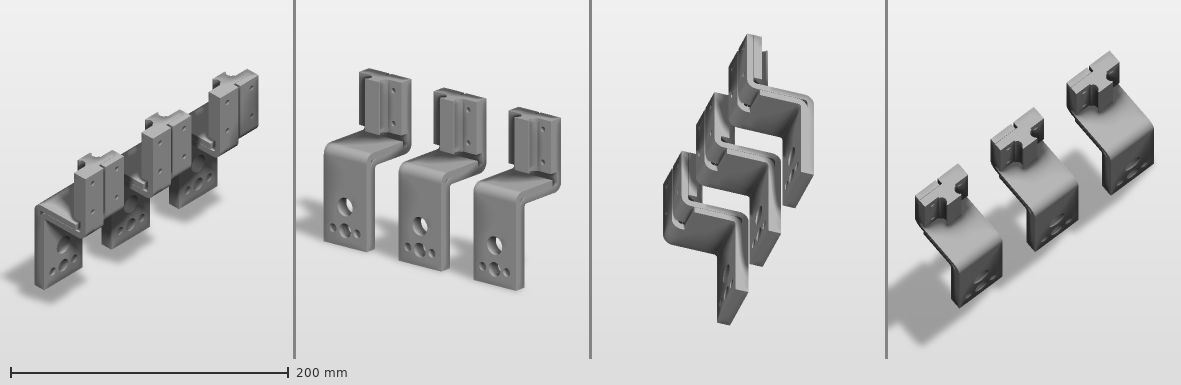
import cadquery as cq

total_length = 180.0
bracket_count = 3
bracket_width = 40.0
bracket_depth = 51.1
bracket_height = 118.5
bracket_pitch = (total_length - bracket_width) / (bracket_count - 1)

plate_thickness = 9.9
sheet_thickness = plate_thickness / 2
inner_bend_radius = 2.2
outer_bend_radius = inner_bend_radius + sheet_thickness
running_gap = 0.2
half_width = bracket_width / 2
rear_leg_front = bracket_depth - sheet_thickness

slit_width = 2.0
half_slit = slit_width / 2
relief_front = 41.4

block_height = bracket_width
block_bottom = bracket_height - block_height
block_face = 39.6
rail_front = 30.5
rail_lip = 1.0
rail_tip_half_width = 6.5
rail_root_half_width = 7.5
rail_neck_half_width = 4.5
rail_neck_setback = 4.5
rail_neck_x = rail_front + rail_neck_setback
block_hole_diameter = 4.0
block_hole_spacing = 25.0

upper_web_top = 73.5
lower_web_top = upper_web_top - sheet_thickness - running_gap

large_hole_diameter = 14.0
large_hole_height = 30.0
lower_holes_height = 12.0
stepped_hole_diameter = 10.0
stepped_hole_recess_diameter = 11.0
stepped_hole_recess_depth = sheet_thickness
side_hole_diameter = 6.5
side_hole_spacing = 22.5


def box_between(x_range, y_range, z_range):
    """Box given by its lower and upper limits along each axis."""
    lows, highs = zip(x_range, y_range, z_range)
    sizes = [high - low for low, high in zip(lows, highs)]
    return cq.Workplane("XY").box(*sizes, centered=False).translate(lows)


def bent_sheet(front_x, web_top):
    """Z-bent sheet: front leg down to the base, web, rear leg up to the top."""
    front_inside = front_x + sheet_thickness
    web_bottom = web_top - sheet_thickness
    return (
        cq.Workplane("XZ")
        .moveTo(front_x, 0)
        .lineTo(front_x, web_top - outer_bend_radius)
        .tangentArcPoint((outer_bend_radius, outer_bend_radius))
        .lineTo(rear_leg_front - inner_bend_radius, web_top)
        .tangentArcPoint((inner_bend_radius, inner_bend_radius))
        .lineTo(rear_leg_front, bracket_height)
        .lineTo(bracket_depth, bracket_height)
        .lineTo(bracket_depth, web_bottom + outer_bend_radius)
        .tangentArcPoint((-outer_bend_radius, -outer_bend_radius))
        .lineTo(front_inside + inner_bend_radius, web_bottom)
        .tangentArcPoint((-inner_bend_radius, -inner_bend_radius))
        .lineTo(front_inside, 0)
        .close()
        .extrude(half_width, both=True)
    )


def upper_sheet():
    """Front sheet, whose rear leg stands only on the +Y side of the slit."""
    relief = box_between(
        (relief_front, bracket_depth), (-half_width, half_slit), (0, bracket_height)
    )
    return bent_sheet(0, upper_web_top).cut(relief)


def lower_sheet():
    """Nested sheet, whose rear leg stands only on the -Y side of the slit."""
    relief = box_between(
        (relief_front, bracket_depth), (-half_slit, half_width), (0, bracket_height)
    )
    return bent_sheet(sheet_thickness, lower_web_top).cut(relief)


def dovetail_block():
    """Block with a round-grooved rail, held clear of the +Y rear leg."""
    groove_front = rail_front + rail_lip
    groove_rear = block_face - rail_lip
    block = (
        cq.Workplane("XY", origin=(0, 0, block_bottom))
        .moveTo(rear_leg_front, -half_width)
        .lineTo(block_face, -half_width)
        .lineTo(block_face, -rail_root_half_width)
        .lineTo(groove_rear, -rail_root_half_width)
        .threePointArc(
            (rail_neck_x, -rail_neck_half_width), (groove_front, -rail_tip_half_width)
        )
        .lineTo(rail_front, -rail_tip_half_width)
        .lineTo(rail_front, rail_tip_half_width)
        .lineTo(groove_front, rail_tip_half_width)
        .threePointArc(
            (rail_neck_x, rail_neck_half_width), (groove_rear, rail_root_half_width)
        )
        .lineTo(block_face, rail_root_half_width)
        .lineTo(block_face, half_width)
        .lineTo(rear_leg_front, half_width)
        .close()
        .extrude(block_height)
    )
    leg_clearance = box_between(
        (rear_leg_front - running_gap, rear_leg_front),
        (-half_slit, half_width),
        (block_bottom, bracket_height),
    )
    return block.cut(leg_clearance)


def bore(diameter, centers, depth=bracket_depth):
    """Cylinders along +X from the front plane, at (y, z) centers."""
    return cq.Workplane("YZ").pushPoints(centers).circle(diameter / 2).extrude(depth)


def block_holes():
    """Square pattern of through holes centred on the dovetail block."""
    middle = block_bottom + block_height / 2
    offset = block_hole_spacing / 2
    centers = [(y * offset, middle + z * offset) for y in (-1, 1) for z in (-1, 1)]
    return bore(block_hole_diameter, centers)


def plate_holes():
    """Holes through the doubled front plate."""
    stepped_center = [(0, lower_holes_height)]
    side_centers = [(side * side_hole_spacing / 2, lower_holes_height) for side in (-1, 1)]
    return (
        bore(large_hole_diameter, [(0, large_hole_height)])
        .union(bore(stepped_hole_diameter, stepped_center))
        .union(bore(stepped_hole_recess_diameter, stepped_center, stepped_hole_recess_depth))
        .union(bore(side_hole_diameter, side_centers))
    )


def flexure_bracket(center_y):
    """One complete bracket, placed along Y."""
    bracket = upper_sheet().union(lower_sheet()).union(dovetail_block())
    bracket = bracket.cut(block_holes()).cut(plate_holes())
    return bracket.translate((0, center_y, 0))


brackets = []
for index in range(bracket_count):
    offset_from_middle = index - (bracket_count - 1) / 2
    brackets.append(flexure_bracket(offset_from_middle * bracket_pitch).solids().val())

result = cq.Compound.makeCompound(brackets)